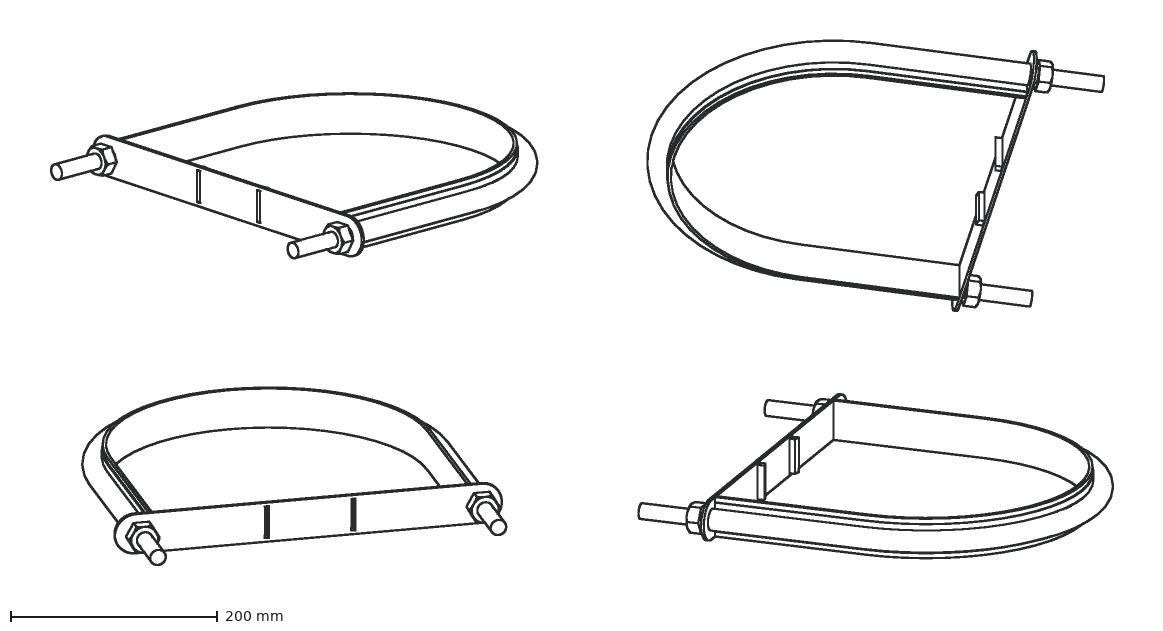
import cadquery as cq
import math


ROD_DIAMETER = 15.5
LEG_OFFSET = 170.0
BEND_CENTRE_Y = 156.7
ROD_END_Y = -73.0
COLLAR_DIAMETER = 17.5
COLLAR_PROTRUSION = 1.2

BEAD_DIAMETER = 21.5
BAND_WIDTH = 40.0
BAND_INNER_OFFSET = 157.5
BAND_THICKNESS = 3.3
SHOULDER_WIDTH = 29.5
SHOULDER_HEIGHT = 1.0

PLATE_LENGTH = 386.0
PLATE_WIDTH = BAND_WIDTH
PLATE_THICKNESS = 3.0
PLATE_CENTRE_X = -1.5
SLOT_OFFSET = 43.0
SLOT_WIDTH = 4.0
SLOT_LENGTH = 32.5
BUMP_WALL = 1.45
BUMP_OUTER_HEIGHT = 7.0
BUMP_INNER_HEIGHT = 5.5

NUT_ACROSS_FLATS = 26.5
NUT_BACK_Y = -8.0
NUT_HEIGHT = 13.0
NUT_CHAMFER = 1.5

SIDES = (-1, 1)


def rod_path():
    """Centre line of the U, from the -X leg end at Y = 0 round to the +X one."""
    return (
        cq.Workplane("XY")
        .moveTo(-LEG_OFFSET, 0)
        .lineTo(-LEG_OFFSET, BEND_CENTRE_Y)
        .threePointArc((0, BEND_CENTRE_Y + LEG_OFFSET), (LEG_OFFSET, BEND_CENTRE_Y))
        .lineTo(LEG_OFFSET, 0)
    )


def leg_cylinder(side, diameter, start_y, end_y):
    """Cylinder on the axis of one leg, from start_y down to end_y."""
    return (
        cq.Workplane("XZ", origin=(side * LEG_OFFSET, start_y, 0))
        .circle(diameter / 2)
        .extrude(start_y - end_y)
    )


def bent_tube(diameter):
    """Round bar that follows the rod's centre line."""
    return (
        cq.Workplane("XZ", origin=(-LEG_OFFSET, 0, 0))
        .circle(diameter / 2)
        .sweep(rod_path())
    )


def u_prism(radius, width):
    """Solid U-shaped prism, open end on Y = 0, centred on Z = 0."""
    return (
        cq.Workplane("XY", origin=(0, 0, -width / 2))
        .moveTo(-radius, 0)
        .lineTo(-radius, BEND_CENTRE_Y)
        .threePointArc((0, BEND_CENTRE_Y + radius), (radius, BEND_CENTRE_Y))
        .lineTo(radius, 0)
        .close()
        .extrude(width)
    )


def make_rod():
    rod = bent_tube(ROD_DIAMETER)
    for side in SIDES:
        rod = rod.union(leg_cylinder(side, ROD_DIAMETER, 0, ROD_END_Y))
    collar_end_y = -PLATE_THICKNESS - COLLAR_PROTRUSION
    return rod.union(leg_cylinder(1, COLLAR_DIAMETER, 0, collar_end_y))


def make_sleeve():
    band_outer_offset = BAND_INNER_OFFSET + BAND_THICKNESS
    band = u_prism(band_outer_offset, BAND_WIDTH)
    shoulder = u_prism(band_outer_offset + SHOULDER_HEIGHT, SHOULDER_WIDTH)
    inside = u_prism(BAND_INNER_OFFSET, BAND_WIDTH)
    return (
        bent_tube(BEAD_DIAMETER)
        .union(band)
        .union(shoulder)
        .cut(inside)
        .cut(bent_tube(ROD_DIAMETER))
    )


def bump_block(side, half_width, height_drop, length):
    """Block along Z behind a slot; it starts at the plate's front face and rises outwards."""
    slope = (BUMP_OUTER_HEIGHT - BUMP_INNER_HEIGHT) / (SLOT_WIDTH + 2 * BUMP_WALL)
    middle_height = (BUMP_OUTER_HEIGHT + BUMP_INNER_HEIGHT) / 2 - height_drop
    inner_x = side * (SLOT_OFFSET - half_width)
    outer_x = side * (SLOT_OFFSET + half_width)
    return (
        cq.Workplane("XY", origin=(0, 0, -length / 2))
        .polyline([
            (inner_x, -PLATE_THICKNESS),
            (outer_x, -PLATE_THICKNESS),
            (outer_x, middle_height + slope * half_width),
            (inner_x, middle_height - slope * half_width),
        ])
        .close()
        .extrude(length)
    )


def make_plate():
    plate = (
        cq.Workplane("XZ", origin=(PLATE_CENTRE_X, 0, 0))
        .slot2D(PLATE_LENGTH, PLATE_WIDTH)
        .extrude(PLATE_THICKNESS)
    )
    for side in SIDES:
        bump = bump_block(side, SLOT_WIDTH / 2 + BUMP_WALL, 0, SLOT_LENGTH + 2 * BUMP_WALL)
        slot = bump_block(side, SLOT_WIDTH / 2, BUMP_WALL, SLOT_LENGTH)
        plate = plate.union(bump).cut(slot)
    for side, diameter in zip(SIDES, (ROD_DIAMETER, COLLAR_DIAMETER)):
        plate = plate.cut(leg_cylinder(side, diameter, 0, -PLATE_THICKNESS))
    return plate


def make_nut(side):
    """Hexagon nut with flats facing +Z and -Z and chamfered front corners."""
    corner_diameter = NUT_ACROSS_FLATS / math.cos(math.pi / 6)
    front_y = NUT_BACK_Y - NUT_HEIGHT
    hexagon = (
        cq.Workplane("XZ", origin=(side * LEG_OFFSET, NUT_BACK_Y, 0))
        .polygon(6, corner_diameter)
        .extrude(NUT_HEIGHT)
    )
    chamfer_envelope = (
        leg_cylinder(side, corner_diameter, NUT_BACK_Y, front_y)
        .faces("<Y")
        .chamfer(NUT_CHAMFER, (corner_diameter - NUT_ACROSS_FLATS) / 2)
    )
    bore = leg_cylinder(side, ROD_DIAMETER, NUT_BACK_Y, front_y)
    return hexagon.intersect(chamfer_envelope).cut(bore)


rod = make_rod()
sleeve = make_sleeve()
plate = make_plate()
nuts = [make_nut(side) for side in SIDES]

result = cq.Compound.makeCompound([
    rod.solids().val(),
    sleeve.solids().val(),
    plate.solids().val(),
    *[nut.solids().val() for nut in nuts],
])